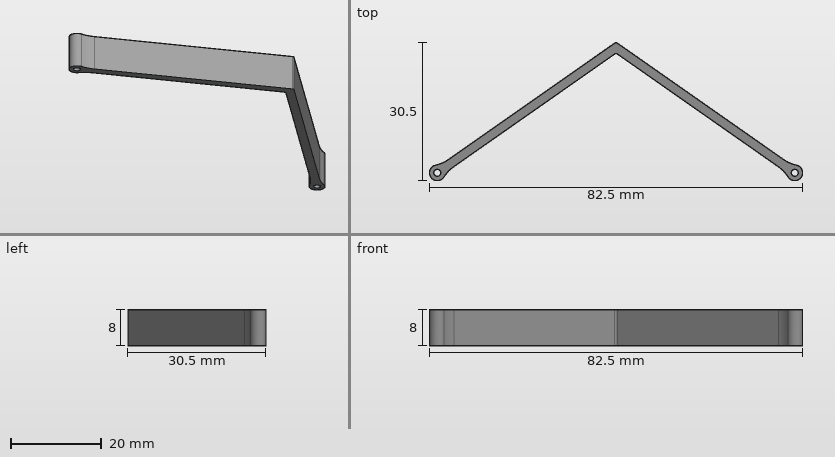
import cadquery as cq
import math

height = 8.0
eye_spacing = 79.0
eye_radius = 1.75
hole_diameter = 1.5
arm_width = 2.0
arm_angle = math.radians(35.0)
apex_radius = 0.5
blend_radius = 8.0

half_spacing = eye_spacing / 2
half_width = arm_width / 2
bend_y = half_spacing * math.tan(arm_angle)
corner_offset = half_width / math.cos(arm_angle)

blend_offset = half_width + blend_radius
blend_reach = math.sqrt((eye_radius + blend_radius) ** 2 - blend_offset ** 2)


def arm_point(along, across):
    """Left arm position: distance from its eye centre, and offset to the upper side."""
    x = along * math.cos(arm_angle) - across * math.sin(arm_angle)
    y = along * math.sin(arm_angle) + across * math.cos(arm_angle)
    return (x - half_spacing, y)


def blend_points(side):
    """Start on the eye, middle and end on the arm of a blend; side is +1 upper, -1 lower."""
    eye_share = eye_radius / (eye_radius + blend_radius)
    start = arm_point(eye_share * blend_reach, side * eye_share * blend_offset)
    half_sweep = math.atan2(blend_reach, blend_offset) / 2
    middle = arm_point(
        blend_reach - blend_radius * math.sin(half_sweep),
        side * (blend_offset - blend_radius * math.cos(half_sweep)),
    )
    end = arm_point(blend_reach, side * half_width)
    return start, middle, end


def mirrored(point):
    return (-point[0], point[1])


def make_bracket():
    """V-shaped strip with an eye at each end and rounded bend corners."""
    upper_start, upper_middle, upper_end = blend_points(1)
    lower_start, lower_middle, lower_end = blend_points(-1)
    eye_tip = arm_point(-eye_radius, 0)
    outline = (
        cq.Workplane("XY")
        .moveTo(*upper_end)
        .lineTo(0, bend_y + corner_offset)
        .lineTo(*mirrored(upper_end))
        .threePointArc(mirrored(upper_middle), mirrored(upper_start))
        .threePointArc(mirrored(eye_tip), mirrored(lower_start))
        .threePointArc(mirrored(lower_middle), mirrored(lower_end))
        .lineTo(0, bend_y - corner_offset)
        .lineTo(*lower_end)
        .threePointArc(lower_middle, lower_start)
        .threePointArc(eye_tip, upper_start)
        .threePointArc(upper_middle, upper_end)
        .close()
    )
    body = outline.extrude(height)
    corner_box = cq.selectors.BoxSelector(
        (-half_width, bend_y - arm_width, 0),
        (half_width, bend_y + arm_width, height),
    )
    return body.edges("|Z").edges(corner_box).fillet(apex_radius)


def drill_eyes(body):
    """Through hole along Z in each eye."""
    return (
        body.faces(">Z")
        .workplane(origin=(0, 0, height))
        .pushPoints([(-half_spacing, 0), (half_spacing, 0)])
        .hole(hole_diameter)
    )


result = drill_eyes(make_bracket())